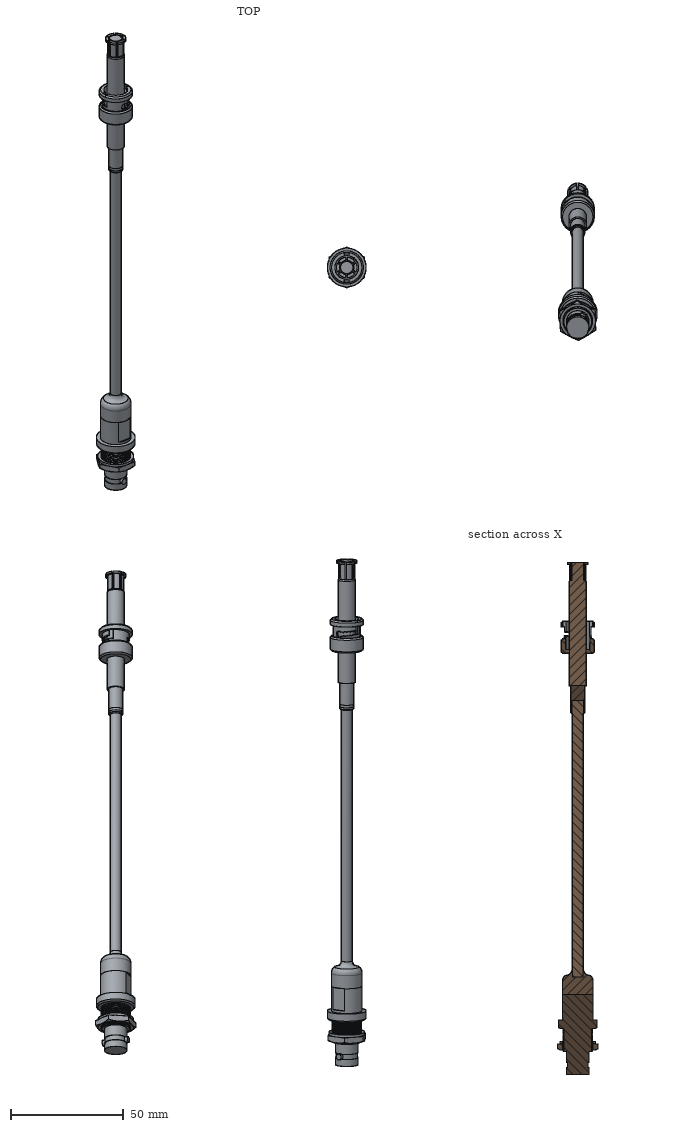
import cadquery as cq
import math

TOTAL_HEIGHT = 228.2
CABLE_RADIUS = 2.5
CABLE_BOTTOM = 43.4

BARREL_RADIUS = 3.9
BARREL_BOTTOM = 173.2
LIP_RADIUS = 4.5
LIP_HEIGHT = 1.0
SLIT_COUNT = 6
SLIT_WIDTH = 0.7
SLIT_LENGTH = 8.0
SLIT_START_ANGLE = 30.0
FINGER_RADIUS = 3.7
FINGER_BORE_RADIUS = 3.2
SHOULDER_HEIGHT = 0.7
CORE_RADIUS = 2.7

COUPLING_RADIUS = 14.8 / 2
COUPLING_BOTTOM = 187.5
COUPLING_TOP = 202.0
GRIP_TOP = 194.2
GRIP_CHAMFER = 0.7
RIM_BOTTOM = 199.5
RIM_CHAMFER = 0.7
NECK_RADIUS = 12.0 / 2
CAVITY_RADIUS = 5.2
CAVITY_FLOOR = 189.5

TRACK_COUNT = 2
TRACK_WIDTH = 2.0
TRACK_OUTER_RADIUS = 6.6
TRACK_ENTRY_Z = 196.5
TRACK_END_Z = 195.8
TRACK_END_RADIUS = 1.4
TRACK_STEPS = 6
TRACK_SWEEP_ANGLE = 90.0

BOOT_RADIUS = 3.2
BOOT_BOTTOM = 161.0
BOOT_END_CHAMFER = 0.5
BOOT_GROOVE_Z = 162.7
BOOT_GROOVE_WIDTH = 1.1
BOOT_GROOVE_DEPTH = 0.07
BOOT_SOCKET_TOP = 166.6

CAP_RADIUS = 6.8
CAP_BOTTOM = 35.5
CAP_SHOULDER_Z = 41.5
CAP_INFLECTION_RADIUS = 5.5
CAP_INFLECTION_Z = 44.3
CAP_TOP = 47.0
CAP_NECK_BULGE = 0.57
CAP_SHOULDER_BULGE = 0.37

FLAT_DISTANCE = 12.0 / 2
FLAT_BOTTOM = 25.5
FLANGE_RADIUS = 8.7
FLANGE_TOP = 24.5
FLANGE_BOTTOM = 20.5
FLANGE_CHAMFER = 0.7
THREAD_RADIUS = 6.6
THREAD_DEPTH = 0.5
THREAD_RIDGES = 15
THREAD_BOTTOM = 10.3
NOSE_RADIUS = 5.0
NOSE_GROOVE_BOTTOM = 3.2
NOSE_GROOVE_TOP = 5.5
NOSE_GROOVE_DEPTH = 0.2
LUG_RADIUS = 1.4
LUG_REACH = 12.0 / 2

HEX_SIDES = 6
HEX_CORNER_DIAMETER = 18.3
HEX_BOTTOM = 11.0
HEX_TOP = 13.7
HEX_CHAMFER_ANGLE = 30.0
WASHER_RADIUS = 8.0
WASHER_TOP = 14.8


def cylinder(radius, bottom, top):
    return cq.Workplane("XY").workplane(offset=bottom).circle(radius).extrude(top - bottom)


def tube(outer, inner, bottom, top):
    return cylinder(outer, bottom, top).cut(cylinder(inner, bottom, top))


def revolve_profile(profile):
    """Close a half profile, drawn as (radius, height), and revolve it about the Z axis."""
    return profile.close().revolve(360, (0, 0, 0), (0, 1, 0))


def make_barrel():
    finger_bottom = TOTAL_HEIGHT - SLIT_LENGTH
    lip_bottom = TOTAL_HEIGHT - LIP_HEIGHT
    barrel = revolve_profile(
        cq.Workplane("XZ")
        .moveTo(0, BARREL_BOTTOM)
        .lineTo(BARREL_RADIUS, BARREL_BOTTOM)
        .lineTo(BARREL_RADIUS, finger_bottom - SHOULDER_HEIGHT)
        .lineTo(FINGER_RADIUS, finger_bottom)
        .lineTo(FINGER_RADIUS, lip_bottom)
        .lineTo(LIP_RADIUS, lip_bottom)
        .lineTo(LIP_RADIUS, TOTAL_HEIGHT)
        .lineTo(0, TOTAL_HEIGHT)
    )
    barrel = barrel.cut(tube(FINGER_BORE_RADIUS, CORE_RADIUS, finger_bottom, TOTAL_HEIGHT))
    slit = (
        cq.Workplane("XY")
        .box(LIP_RADIUS - CORE_RADIUS, SLIT_WIDTH, SLIT_LENGTH, centered=(False, True, False))
        .translate((CORE_RADIUS, 0, finger_bottom))
        .cut(cylinder(CORE_RADIUS, finger_bottom, TOTAL_HEIGHT))
    )
    for index in range(SLIT_COUNT):
        angle = SLIT_START_ANGLE + index * 360 / SLIT_COUNT
        barrel = barrel.cut(slit.rotate((0, 0, 0), (0, 0, 1), angle))
    return barrel


def make_bayonet_track():
    """Entry slot on the -Y side, then a sloping quarter turn to a round stop on the -X side."""
    entry_bottom = TRACK_ENTRY_Z - TRACK_WIDTH / 2
    entry_height = COUPLING_TOP - entry_bottom
    track = (
        cq.Workplane("XY")
        .box(TRACK_WIDTH, TRACK_OUTER_RADIUS, entry_height, centered=(True, False, False))
        .translate((0, -TRACK_OUTER_RADIUS, entry_bottom))
    )
    for step in range(TRACK_STEPS + 1):
        share = step / TRACK_STEPS
        radius = TRACK_WIDTH / 2 if step < TRACK_STEPS else TRACK_END_RADIUS
        height = TRACK_ENTRY_Z + share * (TRACK_END_Z - TRACK_ENTRY_Z)
        hole = (
            cq.Workplane("XZ", origin=(0, 0, height))
            .circle(radius)
            .extrude(TRACK_OUTER_RADIUS)
            .rotate((0, 0, 0), (0, 0, 1), -TRACK_SWEEP_ANGLE * share)
        )
        track = track.union(hole)
    return track


def make_coupling():
    grip = cylinder(COUPLING_RADIUS, COUPLING_BOTTOM, GRIP_TOP).edges().chamfer(GRIP_CHAMFER)
    neck = cylinder(NECK_RADIUS, GRIP_TOP, RIM_BOTTOM)
    rim = cylinder(COUPLING_RADIUS, RIM_BOTTOM, COUPLING_TOP).faces(">Z").edges().chamfer(RIM_CHAMFER)
    coupling = grip.union(neck).union(rim)
    coupling = coupling.cut(cylinder(CAVITY_RADIUS, CAVITY_FLOOR, COUPLING_TOP))
    coupling = coupling.cut(cylinder(BARREL_RADIUS, COUPLING_BOTTOM, CAVITY_FLOOR))
    track = make_bayonet_track()
    for index in range(TRACK_COUNT):
        coupling = coupling.cut(track.rotate((0, 0, 0), (0, 0, 1), index * 360 / TRACK_COUNT))
    return coupling


def make_boot():
    boot = cylinder(BOOT_RADIUS, BOOT_BOTTOM, BARREL_BOTTOM).faces("<Z").edges().chamfer(BOOT_END_CHAMFER)
    groove = tube(
        BOOT_RADIUS,
        BOOT_RADIUS - BOOT_GROOVE_DEPTH,
        BOOT_GROOVE_Z - BOOT_GROOVE_WIDTH / 2,
        BOOT_GROOVE_Z + BOOT_GROOVE_WIDTH / 2,
    )
    return boot.cut(groove).cut(cylinder(CABLE_RADIUS, BOOT_BOTTOM, BOOT_SOCKET_TOP))


def make_cable():
    return cylinder(CABLE_RADIUS, CABLE_BOTTOM, BOOT_SOCKET_TOP)


def make_cap():
    """The cap flares from the cable in a hollow curve, then rounds over into a cylinder."""
    shoulder_middle = (
        (CAP_INFLECTION_RADIUS + CAP_RADIUS) / 2 + CAP_SHOULDER_BULGE,
        (CAP_INFLECTION_Z + CAP_SHOULDER_Z) / 2 + CAP_SHOULDER_BULGE / 2,
    )
    neck_middle = (
        (CAP_INFLECTION_RADIUS + CABLE_RADIUS) / 2 - CAP_NECK_BULGE,
        (CAP_INFLECTION_Z + CAP_TOP) / 2 - CAP_NECK_BULGE,
    )
    cap = revolve_profile(
        cq.Workplane("XZ")
        .moveTo(0, CAP_BOTTOM)
        .lineTo(CAP_RADIUS, CAP_BOTTOM)
        .lineTo(CAP_RADIUS, CAP_SHOULDER_Z)
        .threePointArc(shoulder_middle, (CAP_INFLECTION_RADIUS, CAP_INFLECTION_Z))
        .threePointArc(neck_middle, (CABLE_RADIUS, CAP_TOP))
        .lineTo(0, CAP_TOP)
    )
    return cap.cut(cylinder(CABLE_RADIUS, CABLE_BOTTOM, CAP_TOP))


def make_jack():
    rear = cylinder(CAP_RADIUS, FLANGE_TOP, CAP_BOTTOM)
    flat_depth = CAP_RADIUS - FLAT_DISTANCE
    for side in (-1, 1):
        flat = (
            cq.Workplane("XY")
            .box(flat_depth, 2 * CAP_RADIUS, CAP_BOTTOM - FLAT_BOTTOM, centered=(True, True, False))
            .translate((side * (FLAT_DISTANCE + flat_depth / 2), 0, FLAT_BOTTOM))
        )
        rear = rear.cut(flat)
    flange = cylinder(FLANGE_RADIUS, FLANGE_BOTTOM, FLANGE_TOP).faces("<Z").edges().chamfer(FLANGE_CHAMFER)

    thread_root = THREAD_RADIUS - THREAD_DEPTH
    pitch = (FLANGE_BOTTOM - THREAD_BOTTOM) / THREAD_RIDGES
    profile = cq.Workplane("XZ").moveTo(0, THREAD_BOTTOM).lineTo(thread_root, THREAD_BOTTOM)
    for ridge in range(THREAD_RIDGES):
        start = THREAD_BOTTOM + ridge * pitch
        profile = profile.lineTo(THREAD_RADIUS, start + pitch / 2).lineTo(thread_root, start + pitch)
    thread = revolve_profile(profile.lineTo(0, FLANGE_BOTTOM))

    nose = cylinder(NOSE_RADIUS, 0, THREAD_BOTTOM)
    nose = nose.cut(
        tube(NOSE_RADIUS, NOSE_RADIUS - NOSE_GROOVE_DEPTH, NOSE_GROOVE_BOTTOM, NOSE_GROOVE_TOP)
    )
    lugs = (
        cq.Workplane("YZ", origin=(0, 0, (NOSE_GROOVE_BOTTOM + NOSE_GROOVE_TOP) / 2))
        .circle(LUG_RADIUS)
        .extrude(LUG_REACH, both=True)
    )
    return rear.union(flange).union(thread).union(nose).union(lugs)


def make_washer():
    return tube(WASHER_RADIUS, THREAD_RADIUS, HEX_TOP, WASHER_TOP)


def make_hex_nut():
    """Two corners lie on the Y axis, and a cone chamfers the lower corners."""
    corner_radius = HEX_CORNER_DIAMETER / 2
    flat_radius = corner_radius * math.cos(math.pi / HEX_SIDES)
    corner_rise = (corner_radius - flat_radius) * math.tan(math.radians(HEX_CHAMFER_ANGLE))
    blank = (
        cq.Workplane("XY", origin=(0, 0, HEX_BOTTOM))
        .transformed(rotate=(0, 0, 90))
        .polygon(HEX_SIDES, HEX_CORNER_DIAMETER)
        .extrude(HEX_TOP - HEX_BOTTOM)
    )
    envelope = revolve_profile(
        cq.Workplane("XZ")
        .moveTo(0, HEX_BOTTOM)
        .lineTo(flat_radius, HEX_BOTTOM)
        .lineTo(corner_radius, HEX_BOTTOM + corner_rise)
        .lineTo(corner_radius, HEX_TOP)
        .lineTo(0, HEX_TOP)
    )
    return blank.intersect(envelope).cut(cylinder(THREAD_RADIUS, HEX_BOTTOM, HEX_TOP))


barrel = make_barrel()
coupling = make_coupling()
boot = make_boot()
cable = make_cable()
cap = make_cap()
jack = make_jack()
washer = make_washer()
hex_nut = make_hex_nut()

result = cq.Compound.makeCompound(
    [
        barrel.val(),
        coupling.val(),
        boot.val(),
        cable.val(),
        cap.val(),
        jack.val(),
        washer.val(),
        hex_nut.val(),
    ]
)